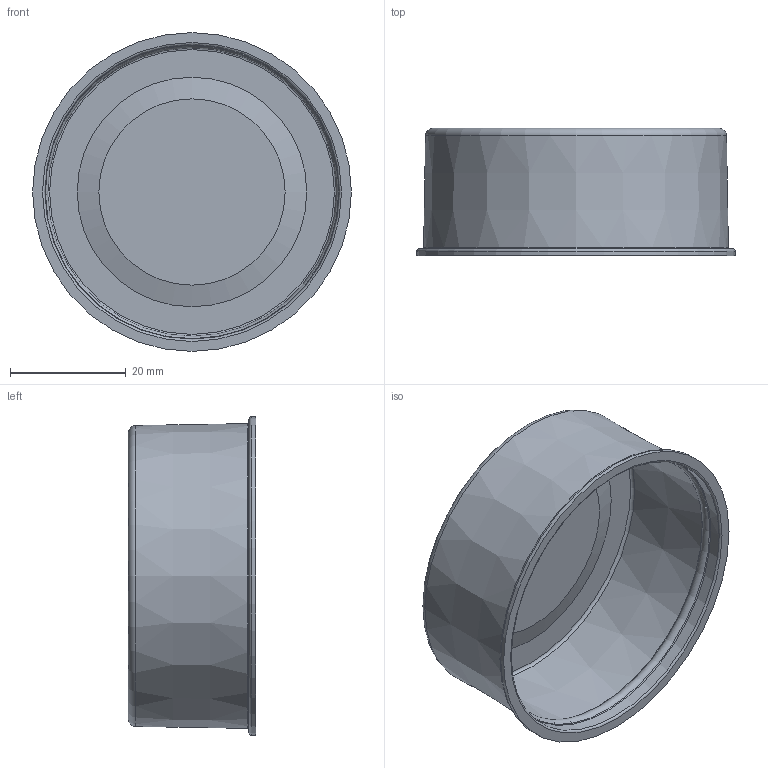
import cadquery as cq

depth = 22.0
mouth_y = -depth / 2
closed_y = depth / 2

flange_radius = 27.565
flange_thickness = 1.15
flange_back_y = mouth_y + flange_thickness
flange_edge_fillet = 0.45

outer_mouth_radius = 26.35
outer_closed_radius = 26.0
flange_root_fillet = 0.2
closed_edge_fillet = 1.25

floor_thickness = 0.9
floor_y = closed_y - floor_thickness
bore_mouth_radius = 25.5
bore_floor_radius = 25.12
mouth_edge_fillet = 0.35
floor_fillet = 0.5

bead_center_y = mouth_y + 3.4
bead_width = 1.8
bead_height = 0.5
bead_root_fillet = 0.25

pad_base_radius = 19.85
pad_top_radius = 16.1
pad_height = 0.9

selection_margin = 0.01


def bore_radius(y):
    """Radius of the tapered bore at a given Y."""
    taper = (bore_floor_radius - bore_mouth_radius) / (floor_y - mouth_y)
    return bore_mouth_radius + taper * (y - mouth_y)


def revolve_about_y(profile):
    """Revolve a closed radius-Y profile once around the Y axis."""
    return profile.close().revolve(360, (0, 0, 0), (0, 1, 0))


def radial_box(radius, y):
    """Selector for everything lying wholly within a given radius, close to a given Y."""
    return cq.selectors.BoxSelector(
        (-radius, y - selection_margin, -radius),
        (radius, y + selection_margin, radius),
        boundingbox=True,
    )


def circle_at(radius, y):
    """Selector for the circular edge at a given radius and Y."""
    return radial_box(radius + selection_margin, y) - radial_box(radius - selection_margin, y)


def make_cup():
    """Flanged cup with a tapered wall, a flat floor and rounded edges."""
    cup = revolve_about_y(
        cq.Workplane("XY")
        .moveTo(0, closed_y)
        .lineTo(outer_closed_radius, closed_y)
        .lineTo(outer_mouth_radius, flange_back_y)
        .lineTo(flange_radius, flange_back_y)
        .lineTo(flange_radius, mouth_y)
        .lineTo(bore_mouth_radius, mouth_y)
        .lineTo(bore_floor_radius, floor_y)
        .lineTo(0, floor_y)
    )
    rounded_edges = [
        (outer_closed_radius, closed_y, closed_edge_fillet),
        (outer_mouth_radius, flange_back_y, flange_root_fillet),
        (flange_radius, flange_back_y, flange_edge_fillet),
        (bore_mouth_radius, mouth_y, mouth_edge_fillet),
        (bore_floor_radius, floor_y, floor_fillet),
    ]
    for radius, y, fillet in rounded_edges:
        cup = cup.edges(circle_at(radius, y)).fillet(fillet)
    return cup


def make_bead():
    """Rounded ring standing inward from the bore, sunk slightly into the wall."""
    start_y = bead_center_y - bead_width / 2
    end_y = bead_center_y + bead_width / 2
    wall_middle = (bore_mouth_radius + outer_mouth_radius) / 2
    return revolve_about_y(
        cq.Workplane("XY")
        .moveTo(wall_middle, start_y)
        .lineTo(bore_radius(start_y), start_y)
        .threePointArc((bore_radius(bead_center_y) - bead_height, bead_center_y), (bore_radius(end_y), end_y))
        .lineTo(wall_middle, end_y)
    )


def round_bead_roots(body):
    """Blend both sides of the bead into the bore."""
    for y in (bead_center_y - bead_width / 2, bead_center_y + bead_width / 2):
        body = body.edges(circle_at(bore_radius(y), y)).fillet(bead_root_fillet)
    return body


def make_pad():
    """Low cone frustum rising from the floor toward the mouth, sunk into the floor."""
    sunk_y = floor_y + floor_thickness / 2
    return revolve_about_y(
        cq.Workplane("XY")
        .moveTo(0, sunk_y)
        .lineTo(pad_base_radius, sunk_y)
        .lineTo(pad_base_radius, floor_y)
        .lineTo(pad_top_radius, floor_y - pad_height)
        .lineTo(0, floor_y - pad_height)
    )


beaded_cup = round_bead_roots(make_cup().union(make_bead()))
result = beaded_cup.union(make_pad())